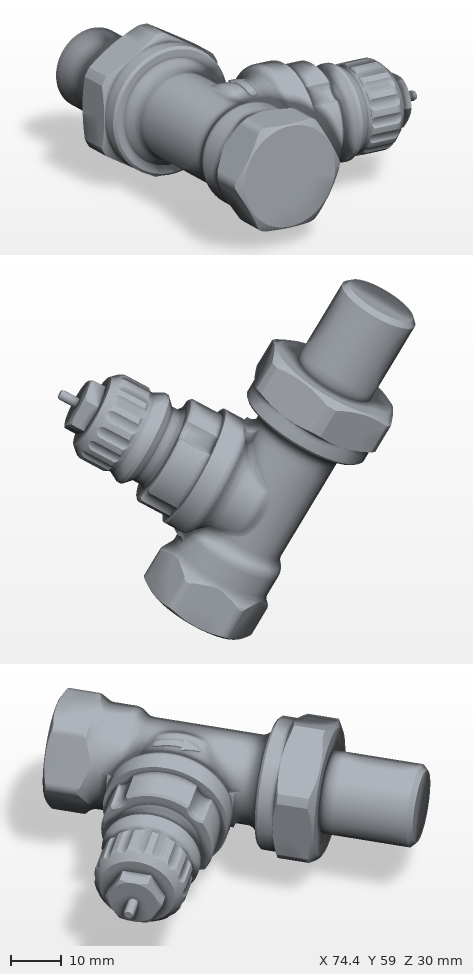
import cadquery as cq
import math


total_length = 74.4
tail_chamfer = 1.05
nut_start = 18.7
nut_end = 27.1
collar_end = 30.7
collar_chamfer = 0.5
neck_cone_end = 32.3
pipe_start = 33.9
pipe_end = 55.7
socket_start = 59.75
socket_end = 64.05
hex_shoulder = 66.5
hex_full = 67.1

tail_radius = 8.3
nut_flats = 26.9
nut_corner_radius = 30.0 / 2
nut_face_radius = 12.95
collar_radius = 13.4
neck_root_radius = 11.1
neck_cone_radius = 9.7
pipe_radius = 9.1
socket_radius = 10.7
hex_flats = 21.8
hex_shoulder_radius = 12.0
hex_corner_radius = 12.3
hex_corner_rounding = 2.15
hex_face_radius = 10.6
hex_half_step = 30
hex_bevel_angle = math.radians(30)

bonnet_x = 48.35
boss_round = 2.4
boss_top = 7.1
flange_flare = 8.55
flange_underside = 9.6
flange_shoulder = 10.2
flange_edge = 11.1
flange_top = 15.0
castle_top = 21.95
castle_chamfer = 0.45
groove_start = 22.6
groove_end = 24.6
bead_bottom = 26.35
bead_top = 27.15
knob_neck = 29.2
knob_bottom = 30.0
knob_rounding_low = 30.4
knob_rounding_high = 35.6
knob_cone_start = 36.7
knob_top = 38.2
gland_bottom = 38.4
gland_top = 41.6
pin_top = 45.5
pin_chamfer = 0.45

boss_radius = 10.4
flange_flare_radius = 10.8
flange_underside_radius = 11.8
flange_shoulder_radius = 12.4
flange_radius = 12.7
castle_radius = 11.45
castle_floor_radius = 10.35
notch_radius = 3.0
notch_count = 4
groove_radius = 8.25
groove_flare_radius = 8.8
bead_radius = 10.0
knob_neck_radius = 8.85
knob_radius = 9.4
knob_cone_radius = 9.0
knob_top_radius = 7.7
flute_radius = 1.6
flute_depth = 0.56
flute_count = 16
gland_flats = 10.0
gland_neck_radius = 4.8
gland_face_radius = 5.0
gland_bevel = 0.45
pin_radius = 1.05

blend_radius = 1.6

web_angle = 46
web_heel = 2.2
web_sink = 0.2
tail_web_width = 1.5
tail_web_height = 1.9
socket_web_width = 1.35
socket_web_height = 1.8

arrow_tip = 43.7
arrow_length = 9.7
arrow_height = 5.0
arrow_head_length = 3.65
arrow_head_half = 1.7
arrow_shaft_half = 0.8
arrow_relief = 0.3


def bevel_depth(outer_radius, face_radius):
    """Axial depth of a wrench bevel that falls from outer_radius to face_radius."""
    return (outer_radius - face_radius) * math.tan(hex_bevel_angle)


def revolve_run(outline):
    """Turn a closed (x, radius) outline about the run axis."""
    return outline.close().revolve(360, (0, 0, 0), (1, 0, 0))


def revolve_bonnet(outline):
    """Turn a closed (radius, y) outline about Y and move it to the bonnet axis."""
    return outline.close().revolve(360, (0, 0, 0), (0, 1, 0)).translate((bonnet_x, 0, 0))


def bonnet_plane(height):
    """Sketch plane square to the bonnet axis, with its normal along +Y."""
    return cq.Workplane(cq.Plane((bonnet_x, height, 0), (1, 0, 0), (0, 1, 0)))


def hex_bar(start, length, flats, rotation):
    """Hexagonal bar along X; rotation 0 puts flats on +Y and -Y."""
    bar = cq.Workplane("YZ", origin=(start, 0, 0)).polygon(6, flats, circumscribed=True).extrude(length)
    return bar.rotate((0, 0, 0), (1, 0, 0), rotation)


def make_body():
    """Pipe, socket and union neck, joined to the bonnet boss with a blended seam."""
    swell_middle = (pipe_end + socket_start) / 2
    swell_radius = (pipe_radius + socket_radius) / 2
    run = revolve_run(
        cq.Workplane("XY")
        .moveTo(collar_end, 0)
        .lineTo(collar_end, neck_root_radius)
        .lineTo(neck_cone_end, neck_cone_radius)
        .tangentArcPoint((pipe_start, pipe_radius), relative=False)
        .lineTo(pipe_end, pipe_radius)
        .tangentArcPoint((swell_middle, swell_radius), relative=False)
        .tangentArcPoint((socket_start, socket_radius), relative=False)
        .lineTo(socket_end, socket_radius)
        .lineTo(socket_end, 0)
    )
    boss = revolve_bonnet(
        cq.Workplane("XY")
        .lineTo(boss_radius - boss_round, 0)
        .tangentArcPoint((boss_radius, boss_round), relative=False)
        .lineTo(boss_radius, flange_top)
        .lineTo(0, flange_top)
    )
    flange = revolve_bonnet(
        cq.Workplane("XY")
        .moveTo(0, boss_top)
        .lineTo(boss_radius, boss_top)
        .threePointArc((flange_flare_radius, flange_flare), (flange_underside_radius, flange_underside))
        .threePointArc((flange_shoulder_radius, flange_shoulder), (flange_radius, flange_edge))
        .lineTo(flange_radius, flange_top)
        .lineTo(0, flange_top)
    )
    return run.union(boss).edges("%BSPLINE").fillet(blend_radius).union(flange)


def make_flange_web(toward, seat_radius, width, height):
    """Hollow-faced web from the flange rim down to the run; toward is -1 or +1 along X."""
    rim_x = bonnet_x + toward * flange_radius
    toe_x = rim_x + toward * width
    heel_x = rim_x - toward * web_heel
    bulge = 1 - math.sqrt(0.5)
    web = (
        cq.Workplane("XY")
        .moveTo(heel_x, seat_radius - web_sink)
        .lineTo(toe_x, seat_radius - web_sink)
        .lineTo(toe_x, seat_radius)
        .threePointArc(
            (rim_x + toward * width * bulge, seat_radius + height * bulge),
            (rim_x, seat_radius + height),
        )
        .lineTo(heel_x, seat_radius + height)
        .close()
        .revolve(web_angle, (0, 0, 0), (1, 0, 0))
    )
    return web.rotate((0, 0, 0), (1, 0, 0), -web_angle / 2)


def make_arrow():
    """Raised flow arrow on the +Z side of the boss, pointing toward the tailpiece."""
    shaft_end = arrow_tip + arrow_length - arrow_shaft_half
    shaft_start = arrow_tip + arrow_head_length
    arrow = (
        cq.Workplane("XY")
        .moveTo(arrow_tip, arrow_height)
        .lineTo(shaft_start, arrow_height + arrow_head_half)
        .lineTo(shaft_start, arrow_height + arrow_shaft_half)
        .lineTo(shaft_end, arrow_height + arrow_shaft_half)
        .threePointArc((arrow_tip + arrow_length, arrow_height), (shaft_end, arrow_height - arrow_shaft_half))
        .lineTo(shaft_start, arrow_height - arrow_shaft_half)
        .lineTo(shaft_start, arrow_height - arrow_head_half)
        .close()
        .extrude(flange_radius)
    )
    skin = bonnet_plane(0).circle(boss_radius + arrow_relief).extrude(flange_top)
    return arrow.intersect(skin)


def make_tail():
    return revolve_run(
        cq.Workplane("XY")
        .lineTo(0, tail_radius - tail_chamfer)
        .lineTo(tail_chamfer, tail_radius)
        .lineTo(nut_start, tail_radius)
        .lineTo(nut_start, 0)
    )


def make_nut():
    """Union nut with bevelled hexagon, flats facing +Y and -Y, and its round collar."""
    front_bevel = bevel_depth(nut_corner_radius, nut_face_radius)
    back_bevel = bevel_depth(nut_corner_radius, collar_radius)
    envelope = revolve_run(
        cq.Workplane("XY")
        .moveTo(nut_start, 0)
        .lineTo(nut_start, nut_face_radius)
        .lineTo(nut_start + front_bevel, nut_corner_radius)
        .lineTo(nut_end - back_bevel, nut_corner_radius)
        .lineTo(nut_end, collar_radius)
        .lineTo(nut_end, 0)
    )
    nut = hex_bar(nut_start, nut_end - nut_start, nut_flats, 0).intersect(envelope)
    collar = (
        cq.Workplane("YZ", origin=(nut_end, 0, 0))
        .circle(collar_radius)
        .extrude(collar_end - nut_end)
        .faces(">X")
        .chamfer(collar_chamfer)
    )
    return nut.union(collar)


def make_end_hex():
    """Wrench hexagon on the socket end, flats facing +Z and -Z."""
    envelope = revolve_run(
        cq.Workplane("XY")
        .moveTo(pipe_end, 0)
        .lineTo(pipe_end, socket_radius)
        .lineTo(socket_end, socket_radius)
        .tangentArcPoint((hex_shoulder, hex_shoulder_radius), relative=False)
        .lineTo(hex_full, hex_corner_radius)
        .lineTo(total_length - bevel_depth(hex_corner_radius, hex_face_radius), hex_corner_radius)
        .lineTo(total_length, hex_face_radius)
        .lineTo(total_length, 0)
    )
    bar = hex_bar(socket_end, total_length - socket_end, hex_flats, hex_half_step)
    return bar.edges("|X").fillet(hex_corner_rounding).intersect(envelope)


def make_castle_ring():
    """Ring above the flange, scalloped midway between the X and Z directions."""
    height = castle_top - flange_top
    notches = (
        bonnet_plane(flange_top)
        .transformed(rotate=(0, 0, 180 / notch_count))
        .polarArray(castle_floor_radius + notch_radius, 0, 360, notch_count)
        .circle(notch_radius)
        .extrude(height)
    )
    ring = bonnet_plane(flange_top).circle(castle_radius).extrude(height).cut(notches)
    return ring.faces(">Y").chamfer(castle_chamfer)


def make_knob():
    """Grooved neck, bead and fluted cap."""
    knob = revolve_bonnet(
        cq.Workplane("XY")
        .moveTo(0, castle_top)
        .lineTo(groove_flare_radius, castle_top)
        .lineTo(groove_radius, groove_start)
        .lineTo(groove_radius, groove_end)
        .lineTo(bead_radius, bead_bottom)
        .lineTo(bead_radius, bead_top)
        .lineTo(knob_neck_radius, knob_neck)
        .lineTo(knob_neck_radius, knob_bottom)
        .lineTo(knob_cone_radius, knob_bottom)
        .lineTo(knob_radius, knob_rounding_low)
        .lineTo(knob_radius, knob_rounding_high)
        .tangentArcPoint((knob_cone_radius, knob_cone_start), relative=False)
        .lineTo(knob_top_radius, knob_top)
        .lineTo(0, knob_top)
    )
    flutes = (
        bonnet_plane(knob_bottom)
        .polarArray(knob_radius - flute_depth + flute_radius, 0, 360, flute_count)
        .circle(flute_radius)
        .extrude(knob_top - knob_bottom)
    )
    return knob.cut(flutes)


def make_gland():
    """Small hexagonal gland with a bevelled top, on a short round neck."""
    corner_radius = gland_flats / math.sqrt(3)
    neck = bonnet_plane(knob_top).circle(gland_neck_radius).extrude(gland_bottom - knob_top)
    hexagon = (
        bonnet_plane(gland_bottom)
        .transformed(rotate=(0, 0, hex_half_step))
        .polygon(6, gland_flats, circumscribed=True)
        .extrude(gland_top - gland_bottom)
    )
    envelope = revolve_bonnet(
        cq.Workplane("XY")
        .moveTo(0, gland_bottom)
        .lineTo(corner_radius, gland_bottom)
        .lineTo(corner_radius, gland_top - gland_bevel)
        .lineTo(gland_face_radius, gland_top)
        .lineTo(0, gland_top)
    )
    return neck.union(hexagon.intersect(envelope))


def make_pin():
    pin = bonnet_plane(gland_top).circle(pin_radius).extrude(pin_top - gland_top)
    return pin.faces(">Y").chamfer(pin_chamfer, pin_chamfer / 2)


result = (
    make_body()
    .union(make_flange_web(-1, pipe_radius, tail_web_width, tail_web_height))
    .union(make_flange_web(1, socket_radius, socket_web_width, socket_web_height))
    .union(make_arrow())
    .union(make_tail())
    .union(make_nut())
    .union(make_end_hex())
    .union(make_castle_ring())
    .union(make_knob())
    .union(make_gland())
    .union(make_pin())
)